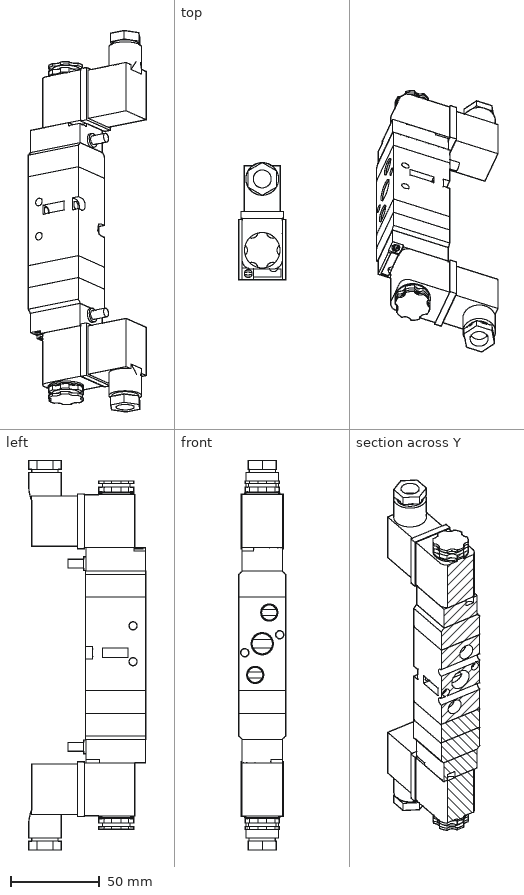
import cadquery as cq
import math


total_length = 219.5
half_length = total_length / 2
total_depth = 66.0

valve_width = 26.5
valve_depth = 34.0
body_end_z = 32.7
end_cap_top_z = 47.5
spacer_length = 13.0
end_cap_chamfer = 2.0

small_port_offset_x = 4.0
small_port_offset_z = 17.5
small_port_diameter = 8.5
small_port_mouth_diameter = 9.7
small_port_slot_width = 3.3
main_port_diameter = 11.5
main_port_mouth_diameter = 12.5
main_port_slot_width = 4.6
port_mouth_depth = 0.9
port_depth = 13.2
port_slot_depth = 2.2
mount_hole_diameter = 4.5
mount_hole_x = 9.9
mount_hole_offset_z = 5.0
mount_relief_width = 5.3
mount_relief_start_y = 10.0
mount_relief_length = 14.3
mount_seat_width = 7.0
mount_seat_depth = 4.0
side_hole_diameter = 4.5
side_hole_y = 7.2
side_hole_offset_z = 10.0

block_clearance = 0.2
block_width = 22.8
block_top_z = 60.5
notch_width = 6.5
front_notch_length = 6.5
back_notch_length = 7.7
notch_depth = 1.8
tray_front_rim = 1.5
tray_side_rim = 0.9
tray_depth = 0.7
screw_diameter = 4.5
screw_inset_x = 3.5
screw_inset_y = 3.3
screw_recess_depth = 0.9
screw_slot_width = 1.0
screw_slot_depth = 0.9
peg_hole_diameter = 4.8
peg_hole_x = 6.4
peg_hole_y = 7.0
peg_hole_depth = 2.2
override_z = 51.5
override_collar_diameter = 8.0
override_collar_end_y = 35.1
override_pin_diameter = 5.0
override_pin_end_y = 44.0

coil_width = 22.6
coil_front_y = 6.1
coil_back_y = 34.7
coil_top_z = 90.5
coil_corner_radius = 5.0

knob_y = 16.7
knob_diameter = 20.0
knob_neck_diameter = 15.5
knob_base_height = 0.9
knob_lower_gap = 0.7
knob_lower_height = 2.6
knob_upper_gap = 2.0
knob_upper_height = 1.5
knob_scallop_count = 6
knob_scallop_diameter = 7.0
knob_scallop_circle_radius = 11.9

flange_width = 24.2
flange_back_y = 38.6
flange_bottom_z = 60.0
flange_top_z = 91.0
plug_width = 20.5
plug_back_y = 64.3
plug_bottom_z = 61.3
plug_top_z = 89.8
gland_diameter = 18.5
gland_top_z = 103.0
gland_bottom_z = 87.0
gland_round_start_z = 95.5
gland_neck_diameter = 15.0
nut_bottom_z = 104.7
nut_across_corners = gland_diameter
cable_hole_diameter = 10.0
cable_hole_depth = 6.5

spacer_bottom_z = -body_end_z
body_bottom_z = spacer_bottom_z + spacer_length
port_center_z = (body_bottom_z + body_end_z) / 2
block_front_y = block_clearance
block_back_y = valve_depth - block_clearance
gland_y = total_depth - gland_diameter / 2


def block_between(width, y0, y1, z0, z1):
    """Box centred on X = 0, spanning y0..y1 and z0..z1."""
    block = cq.Workplane("XY").box(width, y1 - y0, z1 - z0, centered=(True, False, False))
    return block.translate((0, y0, z0))


def cylinder_y(diameter, x, z, y0, y1):
    """Cylinder along Y from y0 to y1."""
    return cq.Workplane("XZ", origin=(x, y0, z)).circle(diameter / 2).extrude(y0 - y1)


def cylinder_z(diameter, x, y, z0, z1):
    """Cylinder along Z from z0 to z1."""
    return cq.Workplane("XY", origin=(x, y, z0)).circle(diameter / 2).extrude(z1 - z0)


def half_turn(part):
    """Copy of a part at the other end of the valve."""
    return part.rotate((0, 0, 0), (0, 1, 0), 180)


def port_cut(x, z, diameter, mouth_diameter, slot_width):
    """Blind port with a wider mouth and a cross slot in its floor."""
    bore = cylinder_y(diameter, x, z, 0, port_depth)
    mouth = cylinder_y(mouth_diameter, x, z, 0, port_mouth_depth)
    slot = cylinder_y(diameter, x, z, 0, port_depth + port_slot_depth).intersect(
        block_between(valve_width, 0, valve_depth, z - slot_width / 2, z + slot_width / 2)
    )
    return bore.union(mouth).union(slot)


def open_slot_cut(x, z, width, y0, y1):
    """Slot with a round bottom on the hole axis, open to the nearer side of the body."""
    reach = valve_width / 2
    round_bottom = cylinder_y(width, x, z, y0, y1)
    mouth = block_between(reach, y0, y1, z - width / 2, z + width / 2)
    mouth_centre_x = x + math.copysign(reach / 2, x)
    return round_bottom.union(mouth.translate((mouth_centre_x, 0, 0)))


def mount_hole_cut(x, z):
    """Through hole along Y with a side slot in the middle and a wider one at the back."""
    hole = cylinder_y(mount_hole_diameter, x, z, 0, valve_depth)
    relief_end_y = mount_relief_start_y + mount_relief_length
    relief = open_slot_cut(x, z, mount_relief_width, mount_relief_start_y, relief_end_y)
    seat = open_slot_cut(x, z, mount_seat_width, valve_depth - mount_seat_depth, valve_depth)
    return hole.union(relief).union(seat)


def make_valve_body():
    body = block_between(valve_width, 0, valve_depth, body_bottom_z, body_end_z)
    main_port = port_cut(
        0,
        port_center_z,
        main_port_diameter,
        main_port_mouth_diameter,
        main_port_slot_width,
    )
    body = body.cut(main_port)
    for side in (-1, 1):
        small_port = port_cut(
            side * small_port_offset_x,
            port_center_z + side * small_port_offset_z,
            small_port_diameter,
            small_port_mouth_diameter,
            small_port_slot_width,
        )
        mount_hole = mount_hole_cut(side * mount_hole_x, port_center_z + side * mount_hole_offset_z)
        side_hole = (
            cq.Workplane("YZ", origin=(0, side_hole_y, port_center_z + side * side_hole_offset_z))
            .circle(side_hole_diameter / 2)
            .extrude(valve_width / 2, both=True)
        )
        body = body.cut(small_port).cut(mount_hole).cut(side_hole)
    return body


def make_spacer():
    return block_between(valve_width, 0, valve_depth, spacer_bottom_z, body_bottom_z)


def make_end_cap():
    cap = block_between(valve_width, 0, valve_depth, body_end_z, end_cap_top_z)
    return cap.faces(">Z").edges("|Y").chamfer(end_cap_chamfer)


def screw_cut(x, y, z):
    """Cross-recessed screw head sunk in the notch floor."""
    recess = cylinder_z(screw_diameter, x, y, z - screw_recess_depth, z)
    slot = cq.Workplane("XY").box(screw_diameter, screw_slot_width, screw_slot_depth)
    cross = slot.union(slot.rotate((0, 0, 0), (0, 0, 1), 90))
    return recess.union(cross.translate((x, y, z - screw_recess_depth - screw_slot_depth / 2)))


def make_pilot_block():
    half_width = block_width / 2
    floor_z = block_top_z - notch_depth
    block = block_between(block_width, block_front_y, block_back_y, end_cap_top_z, block_top_z)

    corners = (
        (-1, block_front_y, front_notch_length),
        (1, block_back_y, back_notch_length),
    )
    for side, edge_y, notch_length in corners:
        notch = cq.Workplane("XY").box(2 * notch_width, 2 * notch_length, 2 * notch_depth)
        block = block.cut(notch.translate((side * half_width, edge_y, block_top_z)))
        screw_x = side * (half_width - screw_inset_x)
        screw_y = edge_y - side * screw_inset_y
        block = block.cut(screw_cut(screw_x, screw_y, floor_z))

    tray = (
        cq.Workplane("XY", origin=(0, 0, block_top_z - tray_depth))
        .moveTo(notch_width - half_width, block_front_y + tray_front_rim)
        .lineTo(half_width - tray_side_rim, block_front_y + tray_front_rim)
        .lineTo(half_width - tray_side_rim, coil_front_y)
        .lineTo(notch_width - half_width, coil_front_y)
        .close()
        .extrude(tray_depth)
    )
    peg_hole = cylinder_z(peg_hole_diameter, peg_hole_x, peg_hole_y, floor_z - peg_hole_depth, block_top_z)
    block = block.cut(tray).cut(peg_hole)

    collar = cylinder_y(override_collar_diameter, 0, override_z, valve_depth / 2, override_collar_end_y)
    pin = cylinder_y(override_pin_diameter, 0, override_z, valve_depth / 2, override_pin_end_y)
    return block.union(collar).union(pin)


def scalloped_disc(z0, height):
    disc = cylinder_z(knob_diameter, 0, knob_y, z0, z0 + height)
    scallops = (
        cq.Workplane("XY", origin=(0, knob_y, z0))
        .polarArray(knob_scallop_circle_radius, 0, 360, knob_scallop_count)
        .circle(knob_scallop_diameter / 2)
        .extrude(height)
    )
    return disc.cut(scallops)


def make_knob():
    lower_z = coil_top_z + knob_base_height + knob_lower_gap
    upper_z = lower_z + knob_lower_height + knob_upper_gap
    base = cylinder_z(knob_diameter, 0, knob_y, coil_top_z, coil_top_z + knob_base_height)
    neck = cylinder_z(knob_neck_diameter, 0, knob_y, coil_top_z, upper_z)
    lower_disc = scalloped_disc(lower_z, knob_lower_height)
    upper_disc = scalloped_disc(upper_z, knob_upper_height)
    return base.union(neck).union(lower_disc).union(upper_disc)


def make_gland():
    """Cable gland whose overhang behind the plug is rounded off towards the plug's back face."""
    front_y = gland_y - gland_diameter / 2
    back_y = gland_y + gland_diameter / 2
    barrel = cylinder_z(gland_diameter, 0, gland_y, gland_bottom_z, gland_top_z)
    side_profile = (
        cq.Workplane("YZ")
        .moveTo(front_y, gland_bottom_z)
        .lineTo(front_y, gland_top_z)
        .lineTo(back_y, gland_top_z)
        .lineTo(back_y, gland_round_start_z)
        .tangentArcPoint((plug_back_y, gland_bottom_z), relative=False)
        .close()
        .extrude(gland_diameter, both=True)
    )
    neck = cylinder_z(gland_neck_diameter, 0, gland_y, gland_top_z, nut_bottom_z)
    nut = (
        cq.Workplane("XY", origin=(0, gland_y, nut_bottom_z))
        .polygon(6, nut_across_corners)
        .extrude(half_length - nut_bottom_z)
        .rotate((0, gland_y, 0), (0, gland_y, 1), 90)
    )
    cable_hole = cylinder_z(cable_hole_diameter, 0, gland_y, half_length - cable_hole_depth, half_length)
    return barrel.intersect(side_profile).union(neck).union(nut).cut(cable_hole)


def make_solenoid():
    coil = block_between(coil_width, coil_front_y, coil_back_y, block_top_z, coil_top_z)
    coil = coil.faces("<Y").edges("|Z").fillet(coil_corner_radius)
    flange = block_between(flange_width, coil_back_y, flange_back_y, flange_bottom_z, flange_top_z)
    plug = block_between(plug_width, flange_back_y, plug_back_y, plug_bottom_z, plug_top_z)
    return coil.union(flange).union(plug).union(make_knob()).union(make_gland())


valve_body = make_valve_body()
spacer = make_spacer()
bodies = [valve_body.val(), spacer.val()]
for end_part in (make_end_cap(), make_pilot_block(), make_solenoid()):
    bodies.append(end_part.val())
    bodies.append(half_turn(end_part).val())

result = cq.Compound.makeCompound(bodies)